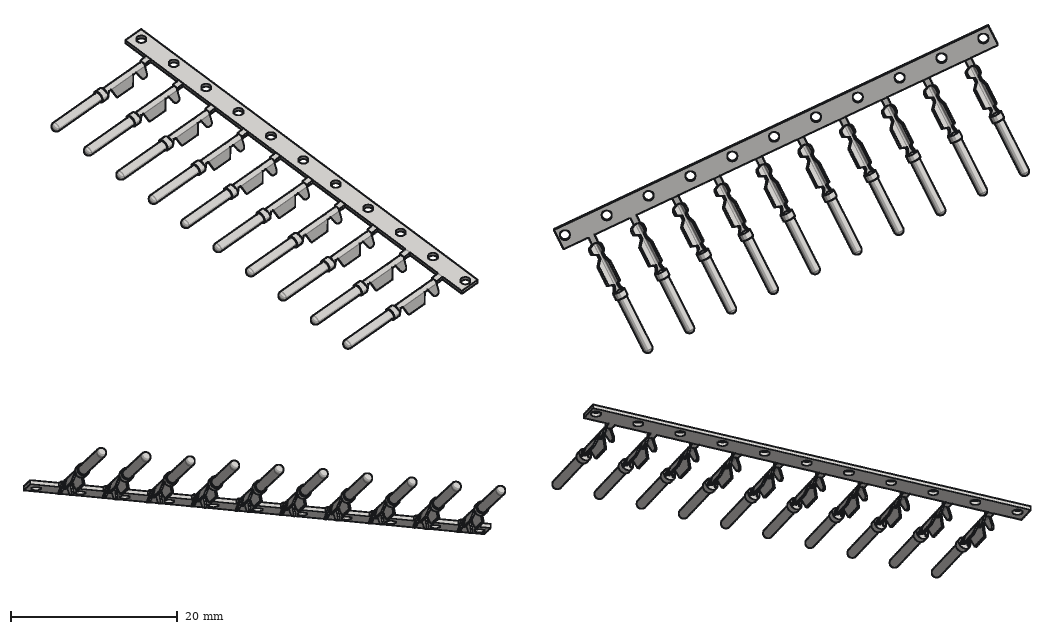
import cadquery as cq
import math

strip_length = 58.0
strip_width = 2.65
strip_thickness = 0.5
hole_diameter = 1.2
hole_inset = 1.15
left_hole_margin = 1.2
right_hole_margin = 0.9
contact_count = 10
separate_contact_count = 8
hole_count = contact_count + 1
pitch = (strip_length - left_hole_margin - right_hole_margin) / contact_count
first_contact_x = left_hole_margin + pitch / 2

crimp_start = 3.65
collar_start = 10.15
collar_end = 11.0
shank_end = 18.15
tip_end = 18.7

collar_radius = 0.785
shank_radius = 0.61
axis_height = -collar_radius

crimp_top = -0.1
crimp_bottom = -1.85
arch_radius = 0.42
sheet_thickness = 0.25
leg_lean = math.radians(19)
arch_center_height = crimp_top - arch_radius

tab_width = 0.8
tab_end_top = -0.1

wire_notch_height = -0.5
collar_notch_height = -0.45
stub_bottom = -1.1
lug_corner_radius = 0.35
lug_bottom_end = 4.45
lug_top_end = 5.1
barrel_top_start = 5.6
barrel_bottom_start = 6.1
barrel_bottom_end = 8.75
barrel_top_end = 9.3
stub_top_start = 9.65
stub_bottom_start = 10.0


def make_strip():
    strip = cq.Workplane("XY").box(strip_length, strip_width, strip_thickness, centered=False)
    strip = strip.translate((0, -strip_width, -strip_thickness))
    hole_centers = [(left_hole_margin + i * pitch, -hole_inset) for i in range(hole_count)]
    holes = (
        cq.Workplane("XY")
        .pushPoints(hole_centers)
        .circle(hole_diameter / 2)
        .extrude(-strip_thickness)
    )
    return strip.cut(holes)


def make_tab():
    """Flat tab whose top slopes down from the strip to the crimp roof."""
    outline = [
        (-strip_width, 0),
        (-crimp_start, tab_end_top),
        (-crimp_start, -strip_thickness),
        (-strip_width, -strip_thickness),
    ]
    return cq.Workplane("YZ").polyline(outline).close().extrude(tab_width / 2, both=True)


def leg_point(radius):
    """Right-hand point where an arch of this radius runs into its straight leg."""
    return radius * math.cos(leg_lean), arch_center_height + radius * math.sin(leg_lean)


def foot_point(radius):
    """Right-hand point where the leg of this arch meets the crimp bottom."""
    x, z = leg_point(radius)
    return x + (z - crimp_bottom) * math.tan(leg_lean), crimp_bottom


def mirrored(point):
    return -point[0], point[1]


def make_channel():
    """Inverted U with spread legs, running from the tab to the collar."""
    inner_radius = arch_radius - sheet_thickness
    outer_leg = leg_point(arch_radius)
    outer_foot = foot_point(arch_radius)
    inner_leg = leg_point(inner_radius)
    inner_foot = foot_point(inner_radius)
    return (
        cq.Workplane("XZ", origin=(0, -crimp_start, 0))
        .moveTo(*mirrored(outer_foot))
        .lineTo(*mirrored(outer_leg))
        .threePointArc((0, crimp_top), outer_leg)
        .lineTo(*outer_foot)
        .lineTo(*inner_foot)
        .lineTo(*inner_leg)
        .threePointArc((0, crimp_top - sheet_thickness), mirrored(inner_leg))
        .lineTo(*mirrored(inner_foot))
        .close()
        .extrude(collar_start - crimp_start)
    )


def make_crimp_side_block():
    """Solid block carrying the side outline: rounded lug, wire barrel and collar stub."""
    outline = [
        (-crimp_start, 0),
        (-crimp_start, crimp_bottom),
        (-lug_bottom_end, crimp_bottom),
        (-lug_top_end, wire_notch_height),
        (-barrel_top_start, wire_notch_height),
        (-barrel_bottom_start, crimp_bottom),
        (-barrel_bottom_end, crimp_bottom),
        (-barrel_top_end, collar_notch_height),
        (-stub_top_start, collar_notch_height),
        (-stub_bottom_start, stub_bottom),
        (-collar_start, stub_bottom),
        (-collar_start, 0),
    ]
    half_width = foot_point(arch_radius)[0] + sheet_thickness
    block = cq.Workplane("YZ").polyline(outline).close().extrude(half_width, both=True)
    lug_edges = cq.selectors.BoxSelector(
        (-half_width, -lug_top_end, crimp_bottom - lug_corner_radius),
        (half_width, -crimp_start + lug_corner_radius, crimp_bottom + lug_corner_radius),
    )
    return block.edges("|X").edges(lug_edges).fillet(lug_corner_radius)


def make_pin():
    """Collar, shank and domed tip, revolved about the contact axis."""
    dome_length = tip_end - shank_end
    dome_radius = (shank_radius**2 + dome_length**2) / (2 * dome_length)
    half_angle = math.asin(shank_radius / dome_radius) / 2
    dome_middle = (
        -tip_end + dome_radius * (1 - math.cos(half_angle)),
        dome_radius * math.sin(half_angle),
    )
    profile = (
        cq.Workplane("YZ")
        .moveTo(-collar_start, 0)
        .lineTo(-collar_start, collar_radius)
        .lineTo(-collar_end, collar_radius)
        .lineTo(-collar_end, shank_radius)
        .lineTo(-shank_end, shank_radius)
        .threePointArc(dome_middle, (-tip_end, 0))
        .close()
    )
    return profile.revolve(360, (0, 0, 0), (1, 0, 0)).translate((0, 0, axis_height))


def make_contact(index):
    crimp = make_channel().intersect(make_crimp_side_block())
    contact = make_tab().union(crimp).union(make_pin())
    return contact.translate((first_contact_x + index * pitch, 0, 0))


contacts = [make_contact(i) for i in range(separate_contact_count)]

carrier = make_strip()
for i in range(separate_contact_count, contact_count):
    carrier = carrier.union(make_contact(i))

result = cq.Compound.makeCompound([carrier.val(), *[contact.val() for contact in contacts]])